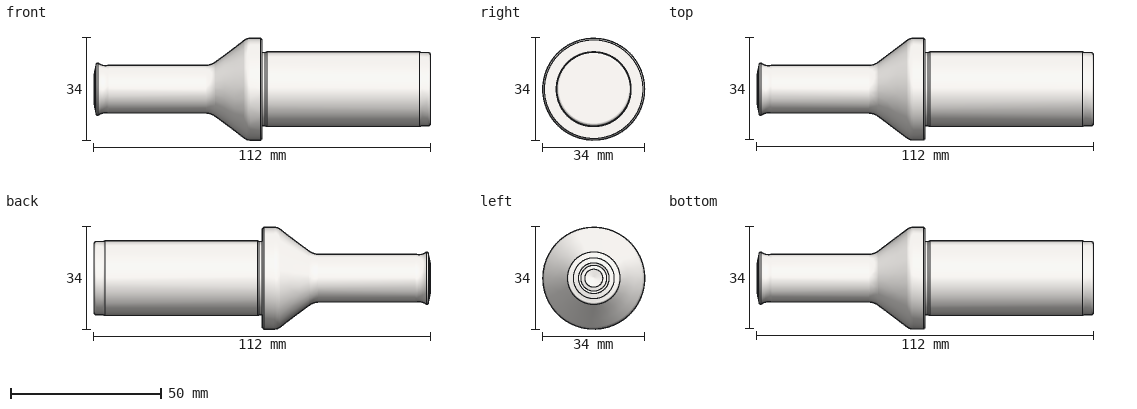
import cadquery as cq
import math


head_length = 56.0
shank_length = 56.0
tip_x = -head_length
shank_end_x = shank_length

drill_radius = 17.5 / 2
head_thickness = 1.35
joint_x = tip_x + head_thickness
face_angle = 10.0
centre_flat_radius = 0.25
inner_ridge_radius = 3.0
valley_radius = 4.3
outer_ridge_radius = 5.1
step_radius = 6.8
step_height = 0.06
face_edge_radius = 8.0

neck_radius = 16.0 / 2
relief_dip = 0.05
relief_end_x = tip_x + 4.85
relief_mid_x = (joint_x + relief_end_x) / 2

flange_radius = 34.0 / 2
cone_angle = 37.0
neck_fillet_radius = 5.0
flange_front_fillet_radius = 3.2
flange_tangent_x = -4.0
flange_chamfer = 0.6

shank_radius = 25.0 / 2
reduced_radius = 24.5 / 2
undercut_length = 1.0
pilot_length = 3.0
taper_length = 0.65
pilot_taper_angle = 30.0
pilot_fillet_radius = 1.0
end_round = 1.0
end_face_radius = 23.0 / 2


def face_rise(radial_width):
    """Axial rise of a conical face ring of the given radial width."""
    return radial_width * math.tan(math.radians(face_angle))


def make_cutting_head():
    centre_x = tip_x + face_rise(inner_ridge_radius - centre_flat_radius)
    valley_x = tip_x + face_rise(valley_radius - inner_ridge_radius)
    outer_ridge_x = valley_x - face_rise(outer_ridge_radius - valley_radius)
    step_front_x = outer_ridge_x + face_rise(step_radius - outer_ridge_radius)
    step_back_x = step_front_x + step_height
    face_edge_x = step_back_x + face_rise(face_edge_radius - step_radius)
    corner_length = joint_x - face_edge_x
    corner_height = drill_radius - face_edge_radius
    corner_radius = (corner_length**2 + corner_height**2) / (2 * corner_height)
    corner_sweep = math.asin(corner_length / corner_radius)
    corner_mid = (
        joint_x - corner_radius * math.sin(corner_sweep / 2),
        drill_radius - corner_radius * (1 - math.cos(corner_sweep / 2)),
    )
    return (
        cq.Workplane("XY")
        .moveTo(centre_x, 0)
        .lineTo(centre_x, centre_flat_radius)
        .lineTo(tip_x, inner_ridge_radius)
        .lineTo(valley_x, valley_radius)
        .lineTo(outer_ridge_x, outer_ridge_radius)
        .lineTo(step_front_x, step_radius)
        .lineTo(step_back_x, step_radius)
        .lineTo(face_edge_x, face_edge_radius)
        .threePointArc(corner_mid, (joint_x, drill_radius))
        .lineTo(joint_x, 0)
        .close()
        .revolve(360, (0, 0, 0), (1, 0, 0))
    )


def make_holder():
    slope = math.radians(cone_angle)
    front_setback = flange_front_fillet_radius * math.tan(slope / 2)
    neck_setback = neck_fillet_radius * math.tan(slope / 2)
    cone_top_x = flange_tangent_x - front_setback
    cone_foot_x = cone_top_x - (flange_radius - neck_radius) / math.tan(slope)
    cone_start = (
        cone_foot_x + neck_setback * math.cos(slope),
        neck_radius + neck_setback * math.sin(slope),
    )
    cone_end = (
        cone_top_x - front_setback * math.cos(slope),
        flange_radius - front_setback * math.sin(slope),
    )
    pilot_x = shank_end_x - pilot_length
    pilot_slope = math.radians(pilot_taper_angle)
    fillet_start_x = pilot_x - pilot_fillet_radius * math.sin(pilot_slope)
    fillet_start_radius = reduced_radius + pilot_fillet_radius * (1 - math.cos(pilot_slope))
    pilot_taper_x = fillet_start_x - (shank_radius - fillet_start_radius) / math.tan(pilot_slope)
    pilot_fillet_mid = (
        pilot_x - pilot_fillet_radius * math.sin(pilot_slope / 2),
        reduced_radius + pilot_fillet_radius * (1 - math.cos(pilot_slope / 2)),
    )
    arc_mid_share = math.sin(math.radians(45))
    end_round_mid = (
        shank_end_x - end_round * (1 - arc_mid_share),
        end_face_radius + (reduced_radius - end_face_radius) * arc_mid_share,
    )
    return (
        cq.Workplane("XY")
        .moveTo(joint_x, 0)
        .lineTo(joint_x, drill_radius)
        .threePointArc((relief_mid_x, neck_radius - relief_dip), (relief_end_x, neck_radius))
        .lineTo(cone_foot_x - neck_setback, neck_radius)
        .tangentArcPoint(cone_start, relative=False)
        .lineTo(*cone_end)
        .tangentArcPoint((flange_tangent_x, flange_radius), relative=False)
        .lineTo(-flange_chamfer, flange_radius)
        .lineTo(0, flange_radius - flange_chamfer)
        .lineTo(0, reduced_radius)
        .lineTo(undercut_length, reduced_radius)
        .lineTo(undercut_length + taper_length, shank_radius)
        .lineTo(pilot_taper_x, shank_radius)
        .lineTo(fillet_start_x, fillet_start_radius)
        .threePointArc(pilot_fillet_mid, (pilot_x, reduced_radius))
        .lineTo(shank_end_x - end_round, reduced_radius)
        .threePointArc(end_round_mid, (shank_end_x, end_face_radius))
        .lineTo(shank_end_x, 0)
        .close()
        .revolve(360, (0, 0, 0), (1, 0, 0))
    )


cutting_head = make_cutting_head()
holder = make_holder()

result = cq.Compound.makeCompound([cutting_head.val(), holder.val()])